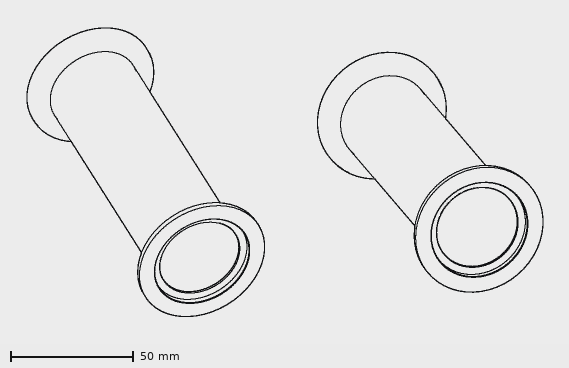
import cadquery as cq
import math

length = 130.0
flange_radius = 27.5
tube_radius = 19.1
tube_bore_radius = 17.4
flange_bore_radius = 17.5
recess_radius = 20.7
back_flat_radius = 19.6
recess_depth = 2.6
recess_chamfer = 0.3
seat_depth = 3.5
rim_width = 1.8
rim_round = 1.4
cone_angle = math.radians(15)


def make_tube():
    tube_length = length - 2 * seat_depth
    return (
        cq.Workplane("YZ", origin=(-tube_length / 2, 0, 0))
        .circle(tube_radius)
        .circle(tube_bore_radius)
        .extrude(tube_length)
    )


def make_flange():
    """Flange at the -X end: chamfered recess, rounded rim, conical back and tube socket."""
    round_center_radius = flange_radius - rim_round

    def round_point(angle):
        return (
            rim_width + rim_round * math.cos(angle),
            round_center_radius + rim_round * math.sin(angle),
        )

    arc_middle_angle = (math.pi / 2 + cone_angle) / 2
    cone_start = round_point(cone_angle)
    cone_end_depth = cone_start[0] + (cone_start[1] - back_flat_radius) * math.tan(cone_angle)

    profile = (
        cq.Workplane("XY", origin=(-length / 2, 0, 0))
        .moveTo(recess_chamfer, recess_radius)
        .lineTo(0, recess_radius + recess_chamfer)
        .lineTo(0, flange_radius)
        .lineTo(rim_width, flange_radius)
        .threePointArc(round_point(arc_middle_angle), cone_start)
        .lineTo(cone_end_depth, back_flat_radius)
        .lineTo(cone_end_depth, tube_radius)
        .lineTo(seat_depth, tube_radius)
        .lineTo(seat_depth, flange_bore_radius)
        .lineTo(recess_depth, flange_bore_radius)
        .lineTo(recess_depth, recess_radius)
        .close()
    )
    return profile.revolve(360, (0, 0, 0), (1, 0, 0))


tube = make_tube()

flanges = []
for turn in (0, 180):
    flanges.append(make_flange().rotate((0, 0, 0), (0, 0, 1), turn).val())

result = cq.Compound.makeCompound([tube.val(), *flanges])